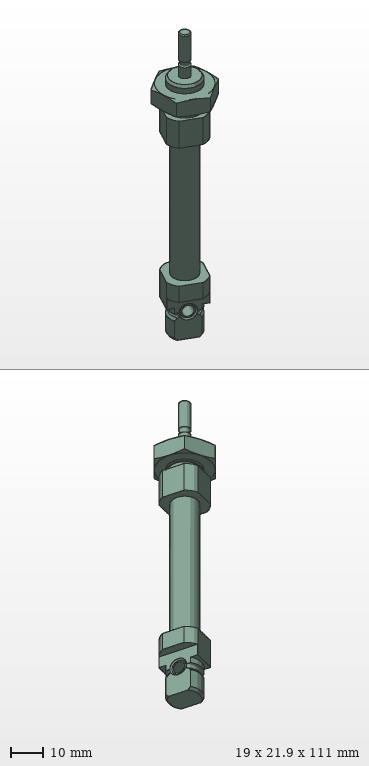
import cadquery as cq
import math

TOTAL_HEIGHT = 111.0
ROD_STICK_OUT = 16.0
FRONT_FACE_Z = TOTAL_HEIGHT - ROD_STICK_OUT

THREAD_DIAMETER = 12.0
THREAD_END_DIAMETER = 10.7
THREAD_CHAMFER_HEIGHT = 1.0
NECK_DIAMETER = 10.0
FRONT_THREAD_LENGTH = 12.0

CAP_WIDTH = 14.0
CAP_CORNER_DIAMETER = 16.0
FRONT_CAP_HEIGHT = 10.0
FRONT_CAP_TOP_Z = FRONT_FACE_Z - FRONT_THREAD_LENGTH
FRONT_CAP_BOTTOM_Z = FRONT_CAP_TOP_Z - FRONT_CAP_HEIGHT
REAR_CAP_TOP_Z = 22.0
REAR_CAP_SHOULDER_Z = 16.0
REAR_CAP_BOTTOM_Z = 12.0

TUBE_DIAMETER = 9.3

TANG_THICKNESS = 8.0
GROOVE_TOP_Z = 10.0
GROOVE_BOTTOM_Z = 8.3
GROOVE_FILLET = 0.28
CROSS_HOLE_Z = GROOVE_TOP_Z
CROSS_HOLE_DIAMETER = 4.0
COUNTERSINK_DIAMETER = 6.0
COUNTERSINK_FLOOR_DIAMETER = 5.0

NUT_WIDTH = 19.0
NUT_HEIGHT = 6.0
NUT_TOP_DROP = 3.0
NUT_FACE_DIAMETER = 18.8
NUT_CHAMFER_ANGLE = 18.0
NUT_TOP_Z = FRONT_FACE_Z - NUT_TOP_DROP
NUT_BOTTOM_Z = NUT_TOP_Z - NUT_HEIGHT
FRONT_GROOVE_HEIGHT = 0.3
FRONT_GROOVE_CHAMFER_HEIGHT = 0.7

ROD_DIAMETER = 4.0
ROD_NECK_DIAMETER = 3.2
ROD_TIP_CHAMFER = (ROD_DIAMETER - ROD_NECK_DIAMETER) / 2
ROD_THREAD_LENGTH = 10.0
ROD_NECK_END = 12.0
ROD_NECK_FILLET = 0.3
ROD_BOTTOM_Z = FRONT_CAP_BOTTOM_Z


def cylinder(diameter, bottom, top):
    return cq.Workplane("XY").workplane(offset=bottom).circle(diameter / 2).extrude(top - bottom)


def cone(bottom_diameter, top_diameter, bottom, top):
    """Truncated cone on the Z axis."""
    return cq.Workplane(cq.Solid.makeCone(
        bottom_diameter / 2, top_diameter / 2, top - bottom, cq.Vector(0, 0, bottom)))


def box(width, depth, bottom, top):
    return cq.Workplane("XY").workplane(offset=bottom).rect(width, depth).extrude(top - bottom)


def fillet_neck(turned_part, radius):
    """Round both corners of the narrowest diameter of a turned part."""
    return turned_part.edges(cq.selectors.RadiusNthSelector(0)).fillet(radius)


def end_cap(bottom, top):
    """Square block whose corners are turned to a cylinder."""
    return box(CAP_WIDTH, CAP_WIDTH, bottom, top).intersect(cylinder(CAP_CORNER_DIAMETER, bottom, top))


def front_thread():
    groove_bottom = NUT_BOTTOM_Z - FRONT_GROOVE_HEIGHT
    runout_bottom = groove_bottom - FRONT_GROOVE_CHAMFER_HEIGHT
    chamfer_bottom = FRONT_FACE_Z - THREAD_CHAMFER_HEIGHT
    thread = cylinder(THREAD_DIAMETER, FRONT_CAP_TOP_Z, runout_bottom)
    thread = thread.union(cone(THREAD_DIAMETER, THREAD_END_DIAMETER, runout_bottom, groove_bottom))
    thread = thread.union(cylinder(NECK_DIAMETER, groove_bottom, NUT_BOTTOM_Z))
    thread = thread.union(cylinder(THREAD_DIAMETER, NUT_BOTTOM_Z, chamfer_bottom))
    return thread.union(cone(THREAD_DIAMETER, THREAD_END_DIAMETER, chamfer_bottom, FRONT_FACE_Z))


def cross_hole():
    """Hole along X through the tang, with a flat-bottomed countersink on both flats."""
    hole = (
        cq.Workplane("YZ").center(0, CROSS_HOLE_Z).circle(CROSS_HOLE_DIAMETER / 2)
        .extrude(TANG_THICKNESS / 2, both=True)
    )
    sink_depth = (COUNTERSINK_DIAMETER - COUNTERSINK_FLOOR_DIAMETER) / 2
    for side in (-1, 1):
        hole = hole.union(cq.Workplane(cq.Solid.makeCone(
            COUNTERSINK_DIAMETER / 2, COUNTERSINK_FLOOR_DIAMETER / 2, sink_depth,
            cq.Vector(side * TANG_THICKNESS / 2, 0, CROSS_HOLE_Z), cq.Vector(-side, 0, 0))))
    return hole


def rear_tang():
    """Thread with a runout groove, flattened on both X sides and cross drilled."""
    chamfer_top = THREAD_CHAMFER_HEIGHT
    runout_bottom = GROOVE_BOTTOM_Z - THREAD_CHAMFER_HEIGHT
    round_part = cone(THREAD_END_DIAMETER, THREAD_DIAMETER, 0, chamfer_top)
    round_part = round_part.union(cylinder(THREAD_DIAMETER, chamfer_top, runout_bottom))
    round_part = round_part.union(
        cone(THREAD_DIAMETER, THREAD_END_DIAMETER, runout_bottom, GROOVE_BOTTOM_Z))
    round_part = round_part.union(cylinder(NECK_DIAMETER, GROOVE_BOTTOM_Z, GROOVE_TOP_Z))
    round_part = round_part.union(cylinder(THREAD_DIAMETER, GROOVE_TOP_Z, REAR_CAP_BOTTOM_Z))
    round_part = fillet_neck(round_part, GROOVE_FILLET)
    flats = box(TANG_THICKNESS, CAP_WIDTH, 0, REAR_CAP_BOTTOM_Z)
    shoulder = box(TANG_THICKNESS, CAP_WIDTH, REAR_CAP_BOTTOM_Z, REAR_CAP_SHOULDER_Z)
    shoulder = shoulder.intersect(
        cylinder(CAP_CORNER_DIAMETER, REAR_CAP_BOTTOM_Z, REAR_CAP_SHOULDER_Z))
    return round_part.intersect(flats).union(shoulder).cut(cross_hole())


def make_housing():
    body = cylinder(TUBE_DIAMETER, REAR_CAP_TOP_Z, FRONT_CAP_BOTTOM_Z)
    body = body.union(end_cap(FRONT_CAP_BOTTOM_Z, FRONT_CAP_TOP_Z))
    body = body.union(front_thread())
    body = body.union(end_cap(REAR_CAP_SHOULDER_Z, REAR_CAP_TOP_Z))
    body = body.union(rear_tang())
    return body.cut(cylinder(ROD_DIAMETER, ROD_BOTTOM_Z, FRONT_FACE_Z))


def make_nut():
    """Hexagon nut with corners along Y and conical chamfers on both faces."""
    corner_diameter = NUT_WIDTH / math.cos(math.radians(30))
    hexagon = (
        cq.Workplane("XY").workplane(offset=NUT_BOTTOM_Z).polygon(6, corner_diameter)
        .extrude(NUT_HEIGHT).rotate((0, 0, 0), (0, 0, 1), 90)
    )
    face_radius = NUT_FACE_DIAMETER / 2
    corner_radius = corner_diameter / 2
    drop = (corner_radius - face_radius) * math.tan(math.radians(NUT_CHAMFER_ANGLE))
    chamfered_blank = (
        cq.Workplane("XZ")
        .moveTo(0, NUT_BOTTOM_Z)
        .lineTo(face_radius, NUT_BOTTOM_Z)
        .lineTo(corner_radius, NUT_BOTTOM_Z + drop)
        .lineTo(corner_radius, NUT_TOP_Z - drop)
        .lineTo(face_radius, NUT_TOP_Z)
        .lineTo(0, NUT_TOP_Z)
        .close()
        .revolve(360, (0, 0, 0), (0, 1, 0))
    )
    bore = cylinder(THREAD_DIAMETER, NUT_BOTTOM_Z, NUT_TOP_Z)
    return hexagon.intersect(chamfered_blank).cut(bore)


def make_rod():
    """Piston rod with a chamfered tip and a runout groove below its thread."""
    rod_radius = ROD_DIAMETER / 2
    neck_radius = ROD_NECK_DIAMETER / 2
    thread_end_z = TOTAL_HEIGHT - ROD_THREAD_LENGTH
    neck_end_z = TOTAL_HEIGHT - ROD_NECK_END
    profile = (
        cq.Workplane("XZ")
        .moveTo(0, ROD_BOTTOM_Z)
        .lineTo(rod_radius, ROD_BOTTOM_Z)
        .lineTo(rod_radius, neck_end_z)
        .lineTo(neck_radius, neck_end_z)
        .lineTo(neck_radius, thread_end_z - ROD_TIP_CHAMFER)
        .lineTo(rod_radius, thread_end_z)
        .lineTo(rod_radius, TOTAL_HEIGHT)
        .lineTo(0, TOTAL_HEIGHT)
        .close()
    )
    turned_rod = fillet_neck(profile.revolve(360, (0, 0, 0), (0, 1, 0)), ROD_NECK_FILLET)
    return turned_rod.faces(">Z").chamfer(ROD_TIP_CHAMFER)


housing = make_housing()
nut = make_nut()
rod = make_rod()

result = cq.Compound.makeCompound([housing.val(), nut.val(), rod.val()])